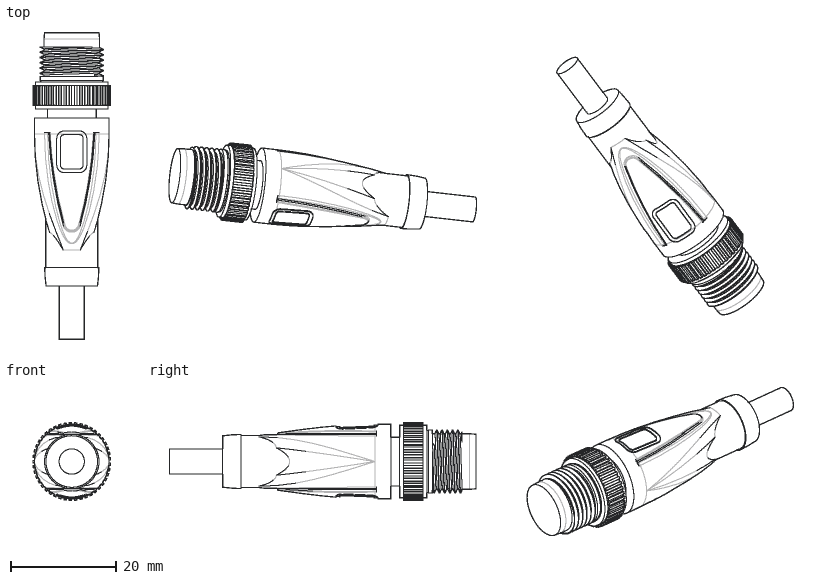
import cadquery as cq
import math


NOSE_TAPER_END = 1.2
THREAD_START = 2.7
THREAD_END = 8.3
SHOULDER_STEP = 9.05
COLLAR_START = 9.35
KNURL_START = 10.05
KNURL_END = 13.8
COLLAR_END = 14.5
GRIP_START = 16.15
TAPER_START = 19.2
TAPER_END = 41.2
BOOT_START = 44.6
BOOT_END = 48.1
CABLE_END = 58.2

NOSE_RADIUS = 5.2
THREAD_ROOT_RADIUS = 5.3
THREAD_CREST_RADIUS = 6.0
COLLAR_RADIUS = 6.9
KNURL_ROOT_RADIUS = 7.0
KNURL_RADIUS = 7.4
NECK_RADIUS = 4.65
GRIP_RADIUS = 7.1
TAIL_RADIUS = 4.95
BOOT_RADIUS = 5.17
BOOT_END_RADIUS = 4.9
BOOT_END_SLOPE = 0.14
CABLE_RADIUS = 2.4

THREAD_PITCH = 1.0
THREAD_BASE_WIDTH = 0.85
THREAD_CREST_WIDTH = 0.1
THREAD_OVERLAP = 0.1
THREAD_PHASE = -36.0
THREAD_RUN_IN = 0.6
SHOULDER_STEP_RADIUS = 5.9

KNURL_TEETH = 45
KNURL_TOOTH_ANGLE = 3.7

GRIP_END_SLOPE = 0.14
SIDE_ARC_RADIUS = 62.0
BEVEL_ARC_RADIUS = 18.7
BEVEL_RUN = 14.5
BEVEL_TILT = 66.0

PANEL_FLOOR_HEIGHT = 5.12
PANEL_START = 18.9
PANEL_MIDDLE = 29.0
PANEL_SHOULDER = 36.6
PANEL_START_HALF_WIDTH = 4.2
PANEL_MIDDLE_HALF_WIDTH = 3.1
PANEL_SHOULDER_HALF_WIDTH = 1.4
PANEL_FLOOR_FILLET = 0.2
PANEL_RIM_FILLET = 0.2
PANEL_RIM_TOP = 6.0
PANEL_REACH = PANEL_START_HALF_WIDTH + 0.1
FLOOR_EDGE_FILLET = 0.8

BADGE_START = 19.35
BADGE_END = 25.85
BADGE_WIDTH = 4.3
BADGE_CORNER_RADIUS = 0.7
BADGE_DEPTH = 0.35
BADGE_RIM_WIDTH = 0.7
BADGE_RIM_DROP = 0.15

LEVEL_GAP = 0.05
CUT_REACH = 20.0
AXIS = ((0, 0, 0), (0, 1, 0))


def cylinder(start, end, radius):
    """Round length between two stations."""
    return cq.Workplane("XZ", origin=(0, -start, 0)).circle(radius).extrude(end - start)


def cone(start, end, start_radius, end_radius):
    """Tapered round length between two stations."""
    return (
        cq.Workplane("XY")
        .moveTo(0, -start)
        .lineTo(start_radius, -start)
        .lineTo(end_radius, -end)
        .lineTo(0, -end)
        .close()
        .revolve(360, *AXIS)
    )


def bowed_solid(start, end, start_radius, end_radius, end_slope):
    """Round length that leaves its start parallel to the axis and narrows at end_slope at its end."""
    return (
        cq.Workplane("XY")
        .moveTo(0, -start)
        .lineTo(start_radius, -start)
        .spline([(end_radius, -end)], tangents=[(0, -1), (-end_slope, -1)], includeCurrent=True)
        .lineTo(0, -end)
        .close()
        .revolve(360, *AXIS)
    )


def thread_ridge():
    """Right-hand helical ridge, started square, that overlaps the thread core slightly."""
    base_radius = THREAD_ROOT_RADIUS - THREAD_OVERLAP
    half_base = THREAD_BASE_WIDTH / 2
    half_crest = THREAD_CREST_WIDTH / 2
    path = cq.Wire.makeHelix(THREAD_PITCH, THREAD_END - THREAD_START + THREAD_RUN_IN, base_radius)
    ridge = (
        cq.Workplane("XZ")
        .polyline(
            [
                (base_radius, -half_base),
                (THREAD_CREST_RADIUS, -half_crest),
                (THREAD_CREST_RADIUS, half_crest),
                (base_radius, half_base),
            ]
        )
        .close()
        .sweep(cq.Workplane(obj=path), isFrenet=True)
        .rotate((0, 0, 0), (1, 0, 0), -90)
        .rotate(*AXIS, THREAD_PHASE)
        .translate((0, -THREAD_END, 0))
    )
    return ridge.cut(cylinder(0, THREAD_START, CUT_REACH))


def coupling():
    """Nose, thread, knurled collar and neck."""
    body = cone(0, NOSE_TAPER_END, NOSE_RADIUS, THREAD_ROOT_RADIUS)
    body = body.union(cylinder(NOSE_TAPER_END, COLLAR_START, THREAD_ROOT_RADIUS))
    body = body.union(thread_ridge())
    body = body.union(cylinder(THREAD_END, SHOULDER_STEP, THREAD_CREST_RADIUS))
    body = body.union(cylinder(SHOULDER_STEP, COLLAR_START, SHOULDER_STEP_RADIUS))
    body = body.union(cylinder(COLLAR_START, COLLAR_END, COLLAR_RADIUS))
    body = body.union(knurl())
    return body.union(cylinder(COLLAR_END, GRIP_START, NECK_RADIUS))


def at_angle(radius, angle):
    """Point at a polar position, with the angle in degrees."""
    turn = math.radians(angle)
    return (radius * math.cos(turn), radius * math.sin(turn))


def knurl():
    """Ring of straight teeth, with one tooth centred on -X."""
    pitch = 360 / KNURL_TEETH
    half_tooth = KNURL_TOOTH_ANGLE / 2
    outline = cq.Workplane("XZ", origin=(0, -KNURL_START, 0))
    outline = outline.moveTo(*at_angle(KNURL_RADIUS, 180 - half_tooth))
    for tooth in range(KNURL_TEETH):
        middle = 180 + tooth * pitch
        outline = outline.threePointArc(
            at_angle(KNURL_RADIUS, middle), at_angle(KNURL_RADIUS, middle + half_tooth)
        )
        outline = outline.lineTo(*at_angle(KNURL_ROOT_RADIUS, middle + half_tooth))
        outline = outline.threePointArc(
            at_angle(KNURL_ROOT_RADIUS, middle + pitch / 2),
            at_angle(KNURL_ROOT_RADIUS, middle + pitch - half_tooth),
        )
        outline = outline.lineTo(*at_angle(KNURL_RADIUS, middle + pitch - half_tooth))
    return outline.close().extrude(KNURL_END - KNURL_START)


def arc_drop(run, radius):
    """How far an arc falls from its starting tangent after the given run."""
    return radius - math.sqrt(radius**2 - run**2)


def flank_cut(arc_radius, run, tilt):
    """Waste outside an arc that curves inward over the run from the taper start.

    The tilt turns it about the X axis through the middle of its starting edge.
    """
    end_x = GRIP_RADIUS - arc_drop(run, arc_radius)
    middle_x = GRIP_RADIUS - arc_drop(run / 2, arc_radius)
    pivot = (0, -TAPER_START, 0)
    return (
        cq.Workplane("XY", origin=(0, 0, -CUT_REACH))
        .moveTo(GRIP_RADIUS, -TAPER_START)
        .threePointArc((middle_x, -TAPER_START - run / 2), (end_x, -TAPER_START - run))
        .lineTo(CUT_REACH, -TAPER_START - run)
        .lineTo(CUT_REACH, -TAPER_START)
        .close()
        .extrude(2 * CUT_REACH)
        .rotate(pivot, (1, -TAPER_START, 0), tilt)
    )


def panel_flank_cut():
    """Waste above the floor level on both sides of the upper panel."""
    panel = (
        cq.Workplane("XY", origin=(0, 0, PANEL_FLOOR_HEIGHT))
        .moveTo(PANEL_START_HALF_WIDTH, -PANEL_START)
        .threePointArc(
            (PANEL_MIDDLE_HALF_WIDTH, -PANEL_MIDDLE), (PANEL_SHOULDER_HALF_WIDTH, -PANEL_SHOULDER)
        )
        .tangentArcPoint((-PANEL_SHOULDER_HALF_WIDTH, -PANEL_SHOULDER), relative=False)
        .threePointArc(
            (-PANEL_MIDDLE_HALF_WIDTH, -PANEL_MIDDLE), (-PANEL_START_HALF_WIDTH, -PANEL_START)
        )
        .close()
        .extrude(CUT_REACH)
    )
    length = TAPER_END - PANEL_START
    waste = cq.Workplane("XY", origin=(0, -PANEL_START - length / 2, PANEL_FLOOR_HEIGHT)).rect(
        2 * CUT_REACH, length
    )
    waste = waste.extrude(CUT_REACH).cut(panel)
    floor_corners = cq.selectors.BoxSelector(
        (-PANEL_REACH, -TAPER_END, PANEL_FLOOR_HEIGHT - LEVEL_GAP),
        (PANEL_REACH, -PANEL_START - LEVEL_GAP, PANEL_FLOOR_HEIGHT + LEVEL_GAP),
    )
    return waste.edges(floor_corners).fillet(PANEL_FLOOR_FILLET)


def badge_cut(margin, depth):
    """Rounded rectangular recess whose floor follows the grip surface at the given depth."""
    length = BADGE_END - BADGE_START
    outline = (
        cq.Workplane("XY", origin=(0, -BADGE_START - length / 2, 0))
        .rect(BADGE_WIDTH + 2 * margin, length + 2 * margin)
        .extrude(CUT_REACH)
        .edges("|Z")
        .fillet(BADGE_CORNER_RADIUS + margin)
    )
    return outline.cut(grip_blank(depth))


def grip_blank(inset):
    """Plain round grip, drawn in from its outer surface by the inset."""
    front = cylinder(GRIP_START, TAPER_START, GRIP_RADIUS - inset)
    taper = bowed_solid(TAPER_START, TAPER_END, GRIP_RADIUS - inset, TAIL_RADIUS - inset, GRIP_END_SLOPE)
    return front.union(taper)


def with_panel(body):
    """Cut the flanks beside the upper panel, then round its rim and the floor's outer edge."""
    body = body.cut(panel_flank_cut())
    floor_edges = cq.selectors.BoxSelector(
        (-GRIP_RADIUS, -TAPER_END, PANEL_FLOOR_HEIGHT - LEVEL_GAP),
        (GRIP_RADIUS, -PANEL_START, PANEL_FLOOR_HEIGHT + LEVEL_GAP),
        boundingbox=True,
    )
    outer_edge = max(body.edges(floor_edges).vals(), key=lambda edge: edge.Length())
    rim_base = PANEL_FLOOR_HEIGHT + PANEL_FLOOR_FILLET + LEVEL_GAP
    rim = cq.selectors.BoxSelector(
        (-PANEL_REACH, -TAPER_END + LEVEL_GAP, rim_base),
        (PANEL_REACH, -PANEL_START + LEVEL_GAP, PANEL_RIM_TOP),
        boundingbox=True,
    )
    body = body.newObject([outer_edge]).fillet(FLOOR_EDGE_FILLET)
    return body.edges(rim).fillet(PANEL_RIM_FILLET)


def grip():
    """Tapered hand grip with flat flanks, and a panel and badge recess on the top and the bottom."""
    body = grip_blank(0)
    flank_cuts = [
        flank_cut(SIDE_ARC_RADIUS, TAPER_END - TAPER_START, 0),
        flank_cut(BEVEL_ARC_RADIUS, BEVEL_RUN, BEVEL_TILT),
        flank_cut(BEVEL_ARC_RADIUS, BEVEL_RUN, -BEVEL_TILT),
    ]
    for side in (0, 180):
        for waste in flank_cuts:
            body = body.cut(waste.rotate(*AXIS, side))
    for _ in range(2):
        body = with_panel(body).cut(badge_cut(BADGE_RIM_WIDTH, BADGE_RIM_DROP))
        body = body.cut(badge_cut(0, BADGE_DEPTH))
        body = body.rotate(*AXIS, 180)
    return body


def tail():
    """Round tail that runs inside the taper, the boot behind it and the cable."""
    boot = bowed_solid(BOOT_START, BOOT_END, BOOT_RADIUS, BOOT_END_RADIUS, BOOT_END_SLOPE)
    body = cylinder(TAPER_START, BOOT_START, TAIL_RADIUS).union(boot)
    return body.union(cylinder(BOOT_END, CABLE_END, CABLE_RADIUS))


result = coupling().union(grip()).union(tail())